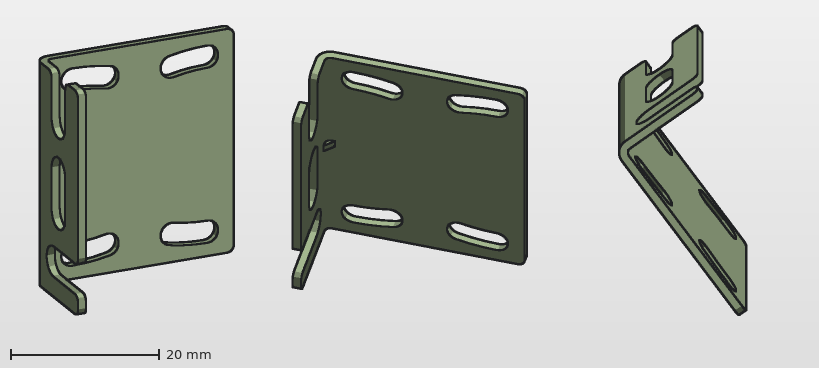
import cadquery as cq
import math

height = 32.5
flange_x = 14.0
flange_y = 29.0
thickness = 1.2
bend_radius = 1.98
inner_bend_radius = bend_radius - thickness
corner_radius = 1.0

slot_width = 4.4
slot_radius = slot_width / 2
slot_x = 7.65
top_slot_end_z = 25.77
closed_slot_low_z = 12.58
closed_slot_high_z = 18.55
side_slot_z = 5.15
side_slot_end_x = 6.05

arc_slot_width = 3.22
arc_sweep = math.radians(12)
arc_outer_y = 10.0
arc_outer_z = 12.7
arc_radius = 2 * arc_outer_z
arc_pattern_y = 15.0

gusset_leg = 1.27
gusset_height = 1.0


def make_angle():
    """Bent L-shaped sheet with rounded inside and outside of the bend."""
    sheet = (
        cq.Workplane("XY")
        .polyline([
            (0, 0), (flange_x, 0), (flange_x, thickness),
            (thickness, thickness), (thickness, flange_y), (0, flange_y),
        ])
        .close()
        .extrude(height)
    )
    sheet = sheet.edges(cq.selectors.NearestToPointSelector((0, 0, height / 2))).fillet(bend_radius)
    inner_corner = cq.selectors.NearestToPointSelector((thickness, thickness, height / 2))
    return sheet.edges(inner_corner).fillet(inner_bend_radius)


def straight_slot(start, end):
    """Round-ended cutter through the narrow flange between two (x, z) end centres."""
    length = math.dist(start, end) + slot_width
    angle = math.degrees(math.atan2(end[1] - start[1], end[0] - start[0]))
    middle = ((start[0] + end[0]) / 2, (start[1] + end[1]) / 2)
    return cq.Workplane("XZ").center(*middle).slot2D(length, slot_width, angle).extrude(-thickness)


def arc_slot(side_y, side_z):
    """Curved cutter through the mounting flange, mirrored by the signs of its quadrant."""
    half_width = arc_slot_width / 2

    def point(radius, angle):
        y = arc_pattern_y + side_y * (arc_outer_y - radius * math.sin(angle))
        z = height / 2 + side_z * (radius * math.cos(angle) - arc_outer_z)
        return (y, z)

    def end_cap(angle, direction):
        """Outermost point of the rounded end at the given arc angle."""
        y, z = point(arc_radius, angle)
        return (
            y - side_y * direction * half_width * math.cos(angle),
            z - side_z * direction * half_width * math.sin(angle),
        )

    outer = arc_radius + half_width
    inner = arc_radius - half_width
    return (
        cq.Workplane("YZ")
        .moveTo(*point(outer, 0))
        .threePointArc(point(outer, arc_sweep / 2), point(outer, arc_sweep))
        .threePointArc(end_cap(arc_sweep, 1), point(inner, arc_sweep))
        .threePointArc(point(inner, arc_sweep / 2), point(inner, 0))
        .threePointArc(end_cap(0, -1), point(outer, 0))
        .close()
        .extrude(thickness)
    )


def make_gusset():
    """Small triangular web at mid-height, seated into the bend fillet."""
    root = thickness - inner_bend_radius / 2
    tip = thickness + gusset_leg
    return (
        cq.Workplane("XY")
        .workplane(offset=(height - gusset_height) / 2)
        .polyline([
            (root, root), (tip, root), (tip, thickness), (thickness, tip), (root, tip),
        ])
        .close()
        .extrude(gusset_height)
    )


def round_corners(body):
    """Round the free corners of both flanges and the slot mouths."""
    slot_mouths = [
        (slot_x - slot_radius, height), (slot_x + slot_radius, height),
        (flange_x, side_slot_z - slot_radius), (flange_x, side_slot_z + slot_radius),
    ]
    for x, z in slot_mouths + [(flange_x, 0), (flange_x, height)]:
        corner = cq.selectors.NearestToPointSelector((x, thickness / 2, z))
        body = body.edges("|Y").edges(corner).fillet(corner_radius)
    for z in (0, height):
        corner = cq.selectors.NearestToPointSelector((thickness / 2, flange_y, z))
        body = body.edges("|X").edges(corner).fillet(corner_radius)
    return body


result = make_angle()

slot_ends = [
    ((slot_x, top_slot_end_z), (slot_x, height + slot_radius)),
    ((slot_x, closed_slot_low_z), (slot_x, closed_slot_high_z)),
    ((side_slot_end_x, side_slot_z), (flange_x + slot_radius, side_slot_z)),
]
for slot_start, slot_end in slot_ends:
    result = result.cut(straight_slot(slot_start, slot_end))

result = round_corners(result)

for quadrant_y in (-1, 1):
    for quadrant_z in (-1, 1):
        result = result.cut(arc_slot(quadrant_y, quadrant_z))

result = result.union(make_gusset())